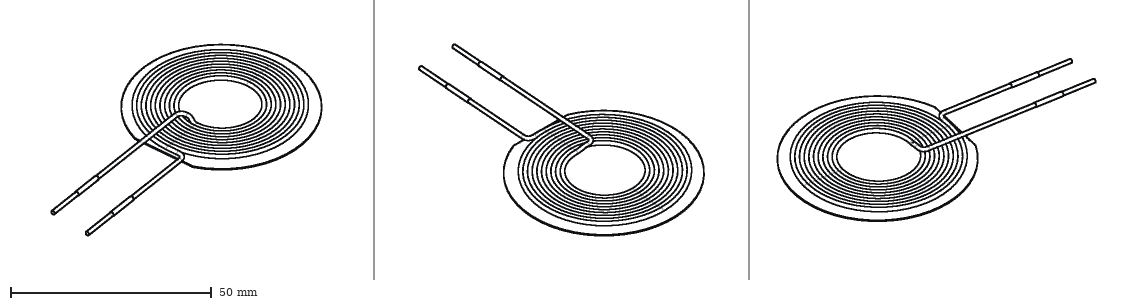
import cadquery as cq

overall_length = 86.3
plate_diameter = 50.0
plate_thickness = 0.35
flat_offset = 23.2

wire_diameter = 1.1
outer_winding_radius = 21.8
inner_winding_radius = 10.2
turns = 10

lead_x = 5.5
bend_width = 2.25
bend_length = 2.0
inner_bend_y = -9.6
inner_lead_shortfall = 0.3

sleeve_diameter = 1.3
sleeve_length = 8.1
sleeve_start_y = -43.3

plate_radius = plate_diameter / 2
half_turns = 2 * turns
radius_step = (outer_winding_radius - inner_winding_radius) / half_turns
winding_z = plate_thickness + wire_diameter / 2
crossing_z = winding_z + wire_diameter
bend_start_x = lead_x - bend_width
outer_lead_end_y = plate_radius - overall_length
inner_lead_end_y = outer_lead_end_y + inner_lead_shortfall

TOWARD_LEFT = cq.Vector(-1, 0, 0)
TOWARD_RIGHT = cq.Vector(1, 0, 0)
TOWARD_FRONT = cq.Vector(0, -1, 0)
TOWARD_BACK = cq.Vector(0, 1, 0)


def make_plate():
    """Thin round plate with one straight edge on the lead side."""
    disc = cq.Workplane("XY").circle(plate_radius).extrude(plate_thickness)
    kept_depth = flat_offset + plate_radius
    kept_side = (
        cq.Workplane("XY")
        .center(0, plate_radius - kept_depth / 2)
        .rect(plate_diameter, kept_depth)
        .extrude(plate_thickness)
    )
    return disc.intersect(kept_side)


def smooth_edge(start, end, start_direction, end_direction):
    """Curve between two points that leaves and arrives along given directions."""
    return cq.Edge.makeSpline([start, end], tangents=[start_direction, end_direction])


def outer_lead_edges():
    """Outer lead from its free end, round the bend, to the start of the winding."""
    free_end = cq.Vector(lead_x, outer_lead_end_y, winding_z)
    bend_front = cq.Vector(lead_x, -outer_winding_radius - bend_length, winding_z)
    bend_back = cq.Vector(bend_start_x, -outer_winding_radius, winding_z)
    winding_start = cq.Vector(0, -outer_winding_radius, winding_z)
    return [
        cq.Edge.makeLine(free_end, bend_front),
        smooth_edge(bend_front, bend_back, TOWARD_BACK, TOWARD_LEFT),
        cq.Edge.makeLine(bend_back, winding_start),
    ]


def winding_edges():
    """Inward spiral of tangent half circles, alternately on the left and right."""
    edges = []
    for index in range(half_turns):
        side = -1 if index % 2 == 0 else 1
        start_radius = outer_winding_radius - index * radius_step
        end_radius = start_radius - radius_step
        arc_radius = (start_radius + end_radius) / 2
        arc_centre_y = side * radius_step / 2
        start = cq.Vector(0, side * start_radius, winding_z)
        middle = cq.Vector(side * arc_radius, arc_centre_y, winding_z)
        end = cq.Vector(0, -side * end_radius, winding_z)
        edges.append(cq.Edge.makeThreePointArc(start, middle, end))
    return edges


def inner_lead_edges():
    """Inner lead, rising from the winding, bending and crossing over the turns."""
    winding_end = cq.Vector(0, -inner_winding_radius, winding_z)
    bend_back = cq.Vector(-bend_start_x, inner_bend_y, crossing_z)
    bend_front = cq.Vector(-lead_x, inner_bend_y - bend_length, crossing_z)
    free_end = cq.Vector(-lead_x, inner_lead_end_y, crossing_z)
    return [
        smooth_edge(winding_end, bend_back, TOWARD_LEFT, TOWARD_LEFT),
        smooth_edge(bend_back, bend_front, TOWARD_LEFT, TOWARD_FRONT),
        cq.Edge.makeLine(bend_front, free_end),
    ]


def make_sleeve(x, z):
    """Slightly thicker round length on a lead."""
    axis_start = cq.Vector(x, sleeve_start_y, z)
    return cq.Solid.makeCylinder(sleeve_diameter / 2, sleeve_length, axis_start, TOWARD_FRONT)


def make_coil():
    """Wire coil with both leads and their sleeves, as one continuous body."""
    path = cq.Wire.assembleEdges(outer_lead_edges() + winding_edges() + inner_lead_edges())
    section_plane = cq.Plane(
        origin=(lead_x, outer_lead_end_y, winding_z),
        xDir=TOWARD_RIGHT,
        normal=TOWARD_BACK,
    )
    coil = cq.Workplane(section_plane).circle(wire_diameter / 2).sweep(cq.Workplane(path))
    for x, z in [(lead_x, winding_z), (-lead_x, crossing_z)]:
        coil = coil.union(cq.Workplane(make_sleeve(x, z)))
    return coil


plate = make_plate()
coil = make_coil()

result = cq.Compound.makeCompound([plate.val(), *coil.solids().vals()])